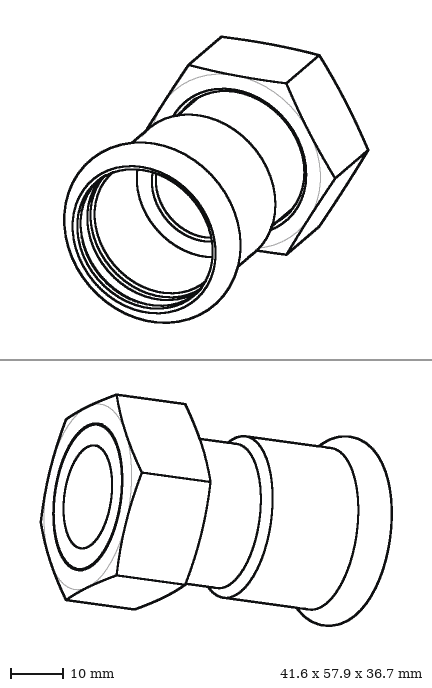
import cadquery as cq
import math

total_length = 57.9

nut_length = 16.45
nut_corner_diameter = 41.6
nut_bore_diameter = 28.4
nut_mouth_diameter = 30.0
nut_chamfer_angle = 15.0
countersink_depth = (nut_mouth_diameter - nut_bore_diameter) / 2
nut_start = total_length - nut_length
nut_corner_radius = nut_corner_diameter / 2
nut_flat_radius = nut_corner_radius * math.cos(math.radians(30))
nut_chamfer_depth = (nut_corner_radius - nut_flat_radius) * math.tan(math.radians(nut_chamfer_angle))

neck_radius = 28.0 / 2
body_radius = 31.4 / 2
bead_radius = 36.7 / 2
bead_width = 7.35
shoulder_start = 26.0
shoulder_end = shoulder_start + body_radius - neck_radius

mouth_radius = 30.4 / 2
lip_radius = 28.8 / 2
socket_radius = 27.55 / 2
bore_radius = 20.0 / 2
bore_chamfer = 0.6
socket_depth = shoulder_start
lip_length = 0.4
lip_end = 1.9
groove_end = 4.9
groove_depth = 0.75
lead_in_start = 6.35
lead_in_end = 6.95


def revolve_about_y(profile):
    return profile.close().revolve(360, (0, 0, 0), (0, 1, 0))


def make_fitting():
    """Stepped press fitting, revolved from a half section of (radius, Y) points."""
    outer = (
        cq.Workplane("XY")
        .moveTo(mouth_radius, 0)
        .threePointArc((bead_radius, bead_width / 2), (body_radius, bead_width))
        .lineTo(body_radius, shoulder_start)
        .lineTo(neck_radius, shoulder_end)
        .lineTo(neck_radius, total_length)
    )
    section = (
        outer.lineTo(bore_radius, total_length)
        .lineTo(bore_radius, socket_depth + bore_chamfer)
        .lineTo(bore_radius + bore_chamfer, socket_depth)
        .lineTo(socket_radius, socket_depth)
        .lineTo(socket_radius, lead_in_end)
        .lineTo(lip_radius, lead_in_start)
        .lineTo(lip_radius, groove_end)
        .threePointArc(
            (lip_radius + groove_depth, (lip_end + groove_end) / 2),
            (lip_radius, lip_end),
        )
        .lineTo(lip_radius, lip_length)
    )
    return revolve_about_y(section)


def make_nut():
    """Hexagon with corners on the X axis, both ends chamfered, and a bore countersunk towards the fitting."""
    hexagon = (
        cq.Workplane("XZ", origin=(0, nut_start, 0))
        .polygon(6, nut_corner_diameter)
        .circle(nut_bore_diameter / 2)
        .extrude(-nut_length)
    )
    chamfer_envelope = revolve_about_y(
        cq.Workplane("XY")
        .moveTo(0, nut_start)
        .lineTo(nut_flat_radius, nut_start)
        .lineTo(nut_corner_radius, nut_start + nut_chamfer_depth)
        .lineTo(nut_corner_radius, total_length - nut_chamfer_depth)
        .lineTo(nut_flat_radius, total_length)
        .lineTo(0, total_length)
    )
    countersink = revolve_about_y(
        cq.Workplane("XY")
        .moveTo(0, nut_start)
        .lineTo(nut_mouth_diameter / 2, nut_start)
        .lineTo(nut_bore_diameter / 2, nut_start + countersink_depth)
        .lineTo(0, nut_start + countersink_depth)
    )
    return hexagon.intersect(chamfer_envelope).cut(countersink)


fitting = make_fitting()
nut = make_nut()
result = cq.Compound.makeCompound([fitting.val(), nut.val()])